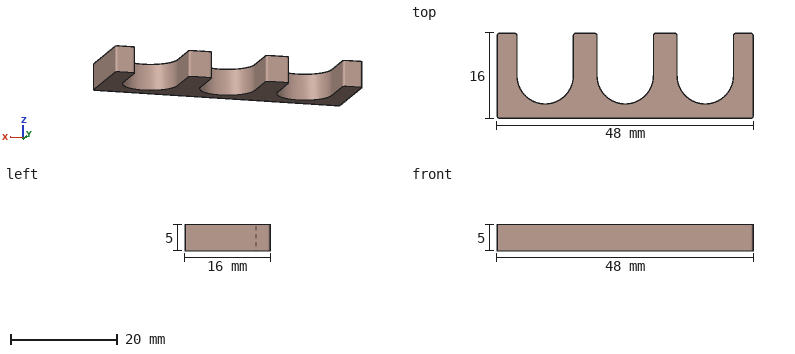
import cadquery as cq

length = 48.0
depth = 16.0
height = 5.0

slot_count = 3
slot_width = 10.5
end_wall = 3.75
back_wall = 2.75
corner_radius = 0.5

slot_radius = slot_width / 2
inner_wall = (length - 2 * end_wall - slot_count * slot_width) / (slot_count - 1)
slot_pitch = slot_width + inner_wall
arc_center_y = back_wall + slot_radius


def slot_cutter(center_x):
    """U-shaped cutter through the full height."""
    return (
        cq.Workplane("XY")
        .moveTo(center_x - slot_radius, depth)
        .lineTo(center_x - slot_radius, arc_center_y)
        .threePointArc((center_x, back_wall), (center_x + slot_radius, arc_center_y))
        .lineTo(center_x + slot_radius, depth)
        .close()
        .extrude(height)
    )


result = cq.Workplane("XY").box(length, depth, height, centered=(True, False, False))

for index in range(slot_count):
    center_x = (index - (slot_count - 1) / 2) * slot_pitch
    result = result.cut(slot_cutter(center_x))

result = result.faces(">Y or <Y").edges("|Z").fillet(corner_radius)